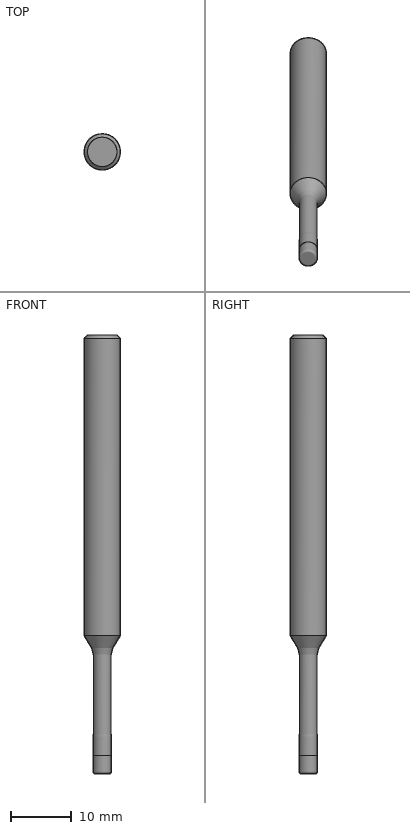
import cadquery as cq

total_length = 72.0
shank_radius = 6.0 / 2
shank_chamfer = 0.6

shank_start = 22.7
taper_start = 20.6
neck_start = 6.5
neck_end = 19.5
collar_end = 6.05
tip_length = 3.0

taper_radius = 1.7
neck_radius = 2.95 / 2
tip_radius = 3.0 / 2

tip_corner_radius = 0.35


def make_holder():
    """Chamfered shank that tapers in two cones to a slim neck and a short collar."""
    profile = [
        (0, tip_length),
        (tip_radius, tip_length),
        (tip_radius, collar_end),
        (neck_radius, neck_start),
        (neck_radius, neck_end),
        (taper_radius, taper_start),
        (shank_radius, shank_start),
        (shank_radius, total_length - shank_chamfer),
        (shank_radius - shank_chamfer, total_length),
        (0, total_length),
    ]
    return cq.Workplane("XZ").polyline(profile).close().revolve(360, (0, 0, 0), (0, 1, 0))


def make_cutting_tip():
    """Cylindrical tip with a rounded bottom corner, butted against the collar."""
    return (
        cq.Workplane("XY")
        .circle(tip_radius)
        .extrude(tip_length)
        .faces("<Z")
        .edges()
        .fillet(tip_corner_radius)
    )


holder = make_holder()
cutting_tip = make_cutting_tip()

result = cq.Compound.makeCompound([holder.val(), cutting_tip.val()])